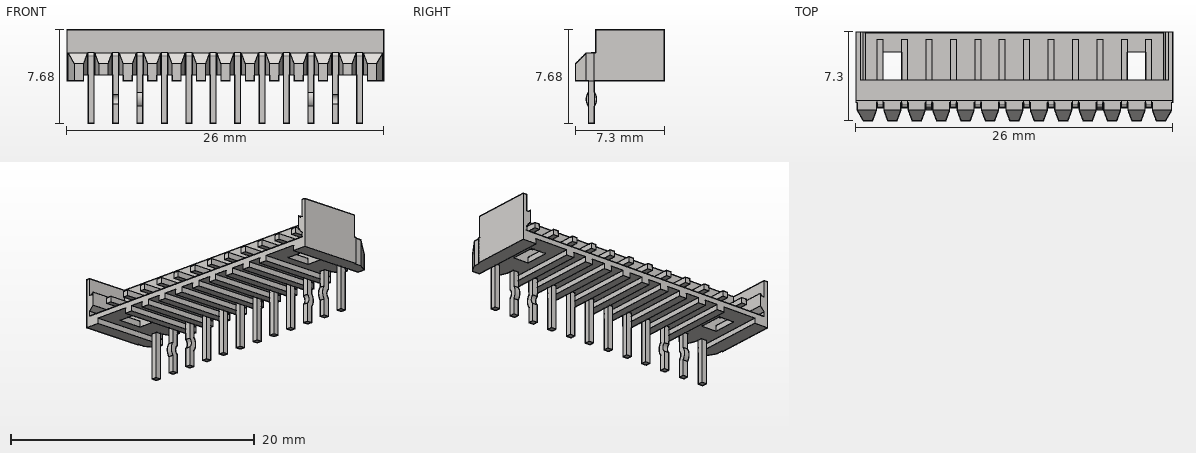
import cadquery as cq
import math


PIN_COUNT = 12
PITCH = 2.0
PIN_SIZE = 0.5
BACKWARD_KINK_PINS = (1, 10)
FORWARD_KINK_PINS = (2, 9)

LENGTH = 26.0
TOP = 4.2
WALL_FRONT = -5.65
WALL_BACK = -3.93
BASE_FRONT = -5.8
BASE_TOP = 2.3
FLOOR_TOP = 1.0
FLOOR_BOTTOM = 0.47
FLOOR_CHAMFER = 0.08
END_WALL = 0.36
CLEARANCE_HOLE_BACK = -1.66

RAIL_DEPTH = 0.42
RAIL_SHELF = 0.23
RAIL_SHELF_Z = 2.73
RAIL_LIP_Z = 2.9
RAIL_NOSE_BOTTOM = 1.77

TOOTH_SHOULDER = -6.42
TOOTH_FRONT = -7.3
TOOTH_TIP_WIDTH = 0.75
TOOTH_GAP = 0.6
TOOTH_END_INSET = 0.1

PIN_BACK = -0.62
PIN_FRONT = -6.25
PIN_TOP = 2.31
PIN_BOTTOM = -3.48
PIN_BEND_RADIUS = 0.29
KINK_Z = -1.5
KINK_INNER_RADIUS = 0.5
KINK_CENTRE_OFFSET = 0.3

HALF_LENGTH = LENGTH / 2
TOOTH_BASE_WIDTH = PITCH - TOOTH_GAP
TOOTH_COUNT = PIN_COUNT + 1
HOLE_TEETH = (1, TOOTH_COUNT - 2)
END_TOOTH_X = (TOOTH_COUNT - 1) / 2 * PITCH
OVERLAP = 0.13


def block(x_range, y_range, z_range):
    """Box between two limits on each axis."""
    limits = (x_range, y_range, z_range)
    sizes = [high - low for low, high in limits]
    corner = tuple(low for low, high in limits)
    return cq.Workplane("XY").box(*sizes, centered=False).translate(corner)


def prism_along_x(profile, x_min, x_max):
    """Extrude a closed YZ profile from x_min to x_max."""
    return profile.extrude(x_max - x_min).translate((x_min, 0, 0))


def prism_along_z(points, z_min, z_max):
    """Extrude an XY outline from z_min to z_max."""
    return cq.Workplane("XY").workplane(offset=z_min).polyline(points).close().extrude(z_max - z_min)


def both_ends(left_half):
    """Repeat a left-end feature at the right end."""
    return left_half.union(left_half.mirror("YZ"))


def row_position(index, count):
    """X position of an item in a row centred on X = 0."""
    return (index - (count - 1) / 2) * PITCH


def make_housing():
    """Stepped front wall, thin floor and two end walls."""
    full_length = (-HALF_LENGTH, HALF_LENGTH)
    wall = block(full_length, (WALL_FRONT, WALL_BACK), (FLOOR_BOTTOM, TOP))
    base = block(full_length, (BASE_FRONT, WALL_BACK), (FLOOR_BOTTOM, BASE_TOP))
    floor = block(full_length, (WALL_BACK, 0), (FLOOR_BOTTOM, FLOOR_TOP))
    floor = floor.edges(">Y and >Z").chamfer(FLOOR_CHAMFER)
    end_wall = block((-HALF_LENGTH, -HALF_LENGTH + END_WALL), (WALL_FRONT, 0), (0, TOP))
    return wall.union(base).union(floor).union(both_ends(end_wall))


def make_rails():
    """Rails with an upturned lip and a 45 degree underside."""
    outside = -HALF_LENGTH + END_WALL - OVERLAP
    face = -HALF_LENGTH + END_WALL
    nose = face + RAIL_DEPTH
    outline = [
        (outside, RAIL_SHELF_Z),
        (face + RAIL_SHELF, RAIL_SHELF_Z),
        (nose, RAIL_LIP_Z),
        (nose, RAIL_NOSE_BOTTOM),
        (face, RAIL_NOSE_BOTTOM - RAIL_DEPTH),
        (outside, RAIL_NOSE_BOTTOM - RAIL_DEPTH),
    ]
    rail = cq.Workplane("XZ").polyline(outline).close().extrude(-(WALL_BACK - OVERLAP))
    return both_ends(rail)


def tooth_outline(x_centre, left_edge, right_edge):
    """Plan of a tooth: straight sides, then a taper to the tip."""
    half_tip = TOOTH_TIP_WIDTH / 2
    return [
        (left_edge, WALL_FRONT),
        (left_edge, TOOTH_SHOULDER),
        (x_centre - half_tip, TOOTH_FRONT),
        (x_centre + half_tip, TOOTH_FRONT),
        (right_edge, TOOTH_SHOULDER),
        (right_edge, WALL_FRONT),
    ]


def make_teeth():
    """Row of teeth, cut by one slope along the upper front."""
    half_base = TOOTH_BASE_WIDTH / 2
    end_edge = HALF_LENGTH - TOOTH_END_INSET
    end_plan = tooth_outline(-END_TOOTH_X, -end_edge, -END_TOOTH_X + half_base)
    teeth = both_ends(prism_along_z(end_plan, FLOOR_BOTTOM, BASE_TOP))
    for index in range(1, TOOTH_COUNT - 1):
        x = row_position(index, TOOTH_COUNT)
        plan = tooth_outline(x, x - half_base, x + half_base)
        teeth = teeth.union(prism_along_z(plan, FLOOR_BOTTOM, BASE_TOP))

    slope_drop = TOOTH_SHOULDER - TOOTH_FRONT
    slope = cq.Workplane("YZ").polyline([
        (TOOTH_SHOULDER, BASE_TOP),
        (TOOTH_FRONT, BASE_TOP),
        (TOOTH_FRONT, BASE_TOP - slope_drop),
    ]).close()
    return teeth.cut(prism_along_x(slope, -HALF_LENGTH, HALF_LENGTH))


def make_feet():
    """Ribs under the floor in line with the tooth tips, widened at both ends."""
    half_tip = TOOTH_TIP_WIDTH / 2
    end_edge = -HALF_LENGTH + TOOTH_END_INSET
    end_outline = [
        (-HALF_LENGTH, 0),
        (-HALF_LENGTH, BASE_FRONT),
        (end_edge, BASE_FRONT),
        (end_edge, TOOTH_SHOULDER),
        (-END_TOOTH_X - half_tip, TOOTH_FRONT),
        (-END_TOOTH_X + half_tip, TOOTH_FRONT),
        (-END_TOOTH_X + half_tip, 0),
    ]
    feet = both_ends(prism_along_z(end_outline, 0, FLOOR_BOTTOM))
    for index in range(1, TOOTH_COUNT - 1):
        if index in HOLE_TEETH:
            continue
        x = row_position(index, TOOTH_COUNT)
        foot = block((x - half_tip, x + half_tip), (TOOTH_FRONT, 0), (0, FLOOR_BOTTOM))
        feet = feet.union(foot)
    return feet


def make_clearance_holes():
    """Openings through the floor between the two outermost pins at each end."""
    half_width = (PITCH - PIN_SIZE) / 2
    x_range = (-half_width, half_width)
    hole = block(x_range, (WALL_BACK, CLEARANCE_HOLE_BACK), (0, FLOOR_TOP))
    left_x = row_position(HOLE_TEETH[0], TOOTH_COUNT)
    return both_ends(hole.translate((left_x, 0, 0)))


def kink_arc(profile, face_y, centre_y, radius, side, going_down):
    """Carry a leg face through a kink that bulges to the given side in Y."""
    half_chord = math.sqrt(radius**2 - (face_y - centre_y)**2)
    step = -half_chord if going_down else half_chord
    crest = (centre_y + side * radius, KINK_Z)
    return profile.lineTo(face_y, KINK_Z - step).threePointArc(crest, (face_y, KINK_Z + step))


def make_pin(x_centre, kink_side):
    """L-shaped square pin; kink_side is -1 for a forward kink, 1 for backward, 0 for none."""
    leg_back = PIN_FRONT + PIN_SIZE
    bend_shift = PIN_BEND_RADIUS * (1 - math.sqrt(0.5))
    profile = (
        cq.Workplane("YZ")
        .moveTo(PIN_BACK, PIN_TOP)
        .lineTo(PIN_FRONT + PIN_BEND_RADIUS, PIN_TOP)
        .threePointArc(
            (PIN_FRONT + bend_shift, PIN_TOP - bend_shift),
            (PIN_FRONT, PIN_TOP - PIN_BEND_RADIUS),
        )
    )
    outer_radius = KINK_INNER_RADIUS + PIN_SIZE
    if kink_side > 0:
        front_radius, back_radius = KINK_INNER_RADIUS, outer_radius
        centre_y = PIN_FRONT - KINK_CENTRE_OFFSET
    else:
        front_radius, back_radius = outer_radius, KINK_INNER_RADIUS
        centre_y = leg_back + KINK_CENTRE_OFFSET

    if kink_side:
        profile = kink_arc(profile, PIN_FRONT, centre_y, front_radius, kink_side, True)
    profile = profile.lineTo(PIN_FRONT, PIN_BOTTOM).lineTo(leg_back, PIN_BOTTOM)
    if kink_side:
        profile = kink_arc(profile, leg_back, centre_y, back_radius, kink_side, False)
    profile = (
        profile.lineTo(leg_back, PIN_TOP - PIN_SIZE)
        .lineTo(PIN_BACK, PIN_TOP - PIN_SIZE)
        .close()
    )
    return prism_along_x(profile, x_centre - PIN_SIZE / 2, x_centre + PIN_SIZE / 2)


def kink_side_of(index):
    """Direction of the retaining kink in a pin's leg."""
    if index in BACKWARD_KINK_PINS:
        return 1
    if index in FORWARD_KINK_PINS:
        return -1
    return 0


result = make_housing().union(make_rails()).union(make_teeth()).union(make_feet())
result = result.cut(make_clearance_holes())
for pin_index in range(PIN_COUNT):
    pin_x = row_position(pin_index, PIN_COUNT)
    result = result.union(make_pin(pin_x, kink_side_of(pin_index)))